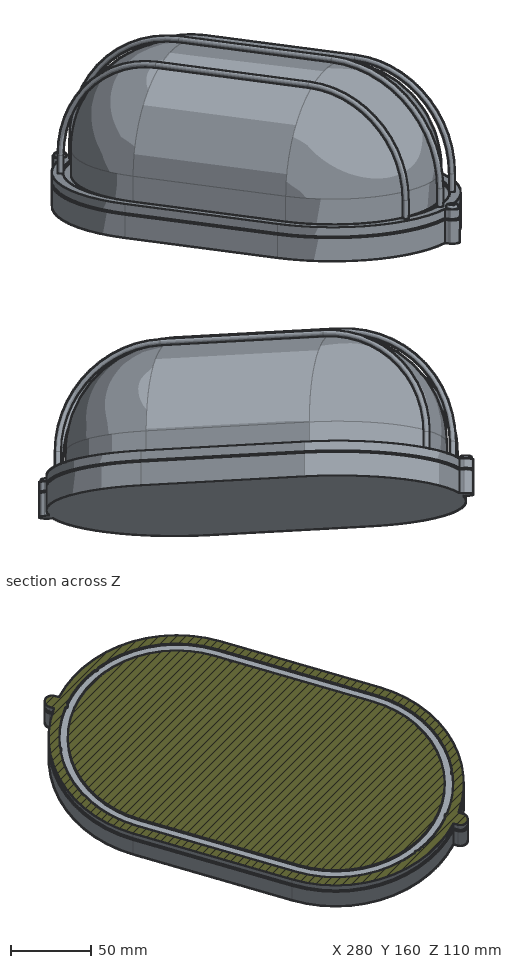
import cadquery as cq

overall_length = 280.0
overall_width = 160.0
overall_height = 110.0
arc_offset = 52.5

base_radius = overall_width / 2
base_height = 22.0
seam_height = 15.0
seam_width = 0.8
seam_depth = 0.5
opening_radius = 73.0
recess_depth = 1.7

glass_radius = 68.0
glass_wall_top = 37.0

lug_radius = 4.8
lug_x = overall_length / 2 - lug_radius
screw_radius = 4.0
screw_height = 2.2
screw_rounding = 1.7
socket_width = 2.8
socket_depth = 1.0

bar_radius = 2.0
bend_height = 34.0
centre_bend_radius = overall_height - bend_height - bar_radius
side_bend_radius = 66.5
side_bar_y = 33.5
bar_foot = 11.2


def oblong(radius, height, bottom=0.0):
    """Upright oblong prism whose round ends have the given radius."""
    length = 2 * (arc_offset + radius)
    return cq.Workplane("XY").workplane(offset=bottom).slot2D(length, 2 * radius).extrude(height)


def lug(side, inset, height, bottom):
    """Round-nosed lug at one end, reduced all round by the inset."""
    radius = lug_radius - inset
    nose_plane = cq.Workplane("XY", origin=(side * lug_x, 0, bottom))
    nose = nose_plane.circle(radius).extrude(height)
    root_x = arc_offset + opening_radius
    web_length = lug_x - root_x
    web = (
        cq.Workplane("XY")
        .workplane(offset=bottom)
        .center(side * (lug_x + root_x) / 2, 0)
        .rect(web_length, 2 * radius)
        .extrude(height)
    )
    return nose.union(web)


def base_layer(inset, height, bottom):
    """Slice of the base with its lugs, reduced all round by the inset."""
    layer = oblong(base_radius - inset, height, bottom)
    for side in (-1, 1):
        layer = layer.union(lug(side, inset, height, bottom))
    return layer


def base():
    """Base and upper frame parted by a fine groove, with a recess for the glass."""
    seam_top = seam_height + seam_width
    lower = base_layer(0, seam_height, 0)
    seam = base_layer(seam_depth, seam_width, seam_height)
    frame = base_layer(0, base_height - seam_top, seam_top)
    recess = oblong(opening_radius, recess_depth, base_height - recess_depth)
    return lower.union(seam).union(frame).cut(recess)


def glass():
    """Oblong wall capped by a half cylinder with a quarter sphere at each end."""
    wall = oblong(glass_radius, glass_wall_top)
    end_x = arc_offset + glass_radius
    dome = (
        cq.Workplane("XY", origin=(0, 0, glass_wall_top))
        .moveTo(-end_x, 0)
        .radiusArc((-arc_offset, glass_radius), glass_radius)
        .lineTo(arc_offset, glass_radius)
        .radiusArc((end_x, 0), glass_radius)
        .close()
        .revolve(180, (0, 0, 0), (1, 0, 0))
    )
    return wall.union(dome)


def guard_bar(y, bend_radius):
    """Round bar arched lengthwise over the glass; radius is that of its centreline."""
    leg_x = arc_offset + bend_radius
    top = bend_height + bend_radius
    path = (
        cq.Workplane("XZ", origin=(0, y, 0))
        .moveTo(-leg_x, bar_foot)
        .lineTo(-leg_x, bend_height)
        .tangentArcPoint((-arc_offset, top), relative=False)
        .lineTo(arc_offset, top)
        .tangentArcPoint((leg_x, bend_height), relative=False)
        .lineTo(leg_x, bar_foot)
    )
    return cq.Workplane("XY", origin=(-leg_x, y, bar_foot)).circle(bar_radius).sweep(path)


def screw_head(side):
    """Rounded screw head with a square socket, standing on a lug."""
    return (
        cq.Workplane("XY", origin=(side * lug_x, 0, base_height))
        .circle(screw_radius)
        .extrude(screw_height)
        .faces(">Z")
        .edges()
        .fillet(screw_rounding)
        .faces(">Z")
        .workplane()
        .rect(socket_width, socket_width)
        .cutBlind(-socket_depth)
    )


result = base().union(glass())
result = result.union(guard_bar(0, centre_bend_radius))
for side in (-1, 1):
    result = result.union(guard_bar(side * side_bar_y, side_bend_radius))
    result = result.union(screw_head(side))